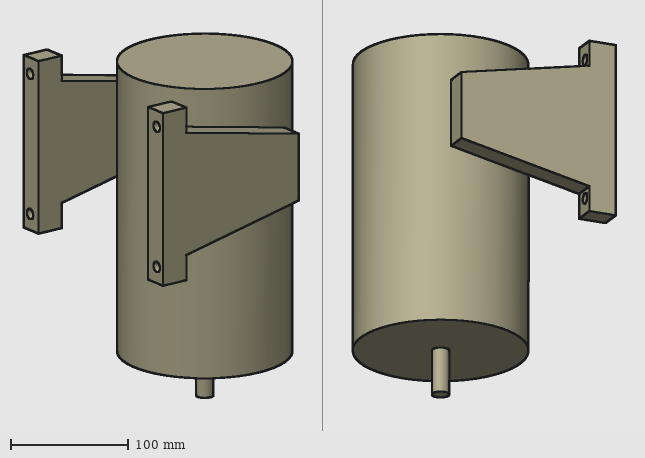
import cadquery as cq

motor_diameter = 150.0
motor_height = 260.0
shaft_diameter = 15.0
shaft_length = 40.0

overall_width = 197.0
overall_height = 303.5
bracket_thickness = 21.0
bracket_depth = 145.0
bracket_height = 155.0
front_offset = 119.0

flange_depth = 25.0
web_root_height = 110.0
web_tip_height = 60.0

hole_diameter = 9
hole_spacing = 126.0
hole_offset = 89.5

bracket_middle_z = overall_height - bracket_height / 2
bracket_middle_x = (overall_width - bracket_thickness) / 2


def make_motor():
    """Motor casing and its output shaft, with the shaft tip at Z = 0."""
    shaft = cq.Workplane("XY").circle(shaft_diameter / 2).extrude(shaft_length)
    casing = (
        cq.Workplane("XY")
        .workplane(offset=shaft_length)
        .circle(motor_diameter / 2)
        .extrude(motor_height)
    )
    return casing.union(shaft)


def make_bracket(side):
    """Bracket on one side of the motor; side is -1 for -X and +1 for +X."""
    front_y = -front_offset
    flange_back_y = front_y + flange_depth
    tip_y = front_y + bracket_depth

    plate = (
        cq.Workplane("YZ", origin=(side * bracket_middle_x, 0, bracket_middle_z))
        .moveTo(front_y, -bracket_height / 2)
        .lineTo(flange_back_y, -bracket_height / 2)
        .lineTo(flange_back_y, -web_root_height / 2)
        .lineTo(tip_y, -web_tip_height / 2)
        .lineTo(tip_y, web_tip_height / 2)
        .lineTo(flange_back_y, web_root_height / 2)
        .lineTo(flange_back_y, bracket_height / 2)
        .lineTo(front_y, bracket_height / 2)
        .close()
        .extrude(bracket_thickness / 2, both=True)
    )

    holes = (
        cq.Workplane("XZ", origin=(side * hole_offset, flange_back_y, bracket_middle_z))
        .pushPoints([(0, -hole_spacing / 2), (0, hole_spacing / 2)])
        .circle(hole_diameter / 2)
        .extrude(flange_depth)
    )
    return plate.cut(holes)


motor = make_motor()
brackets = [make_bracket(side) for side in (-1, 1)]

result = cq.Compound.makeCompound([motor.val(), *[bracket.val() for bracket in brackets]])